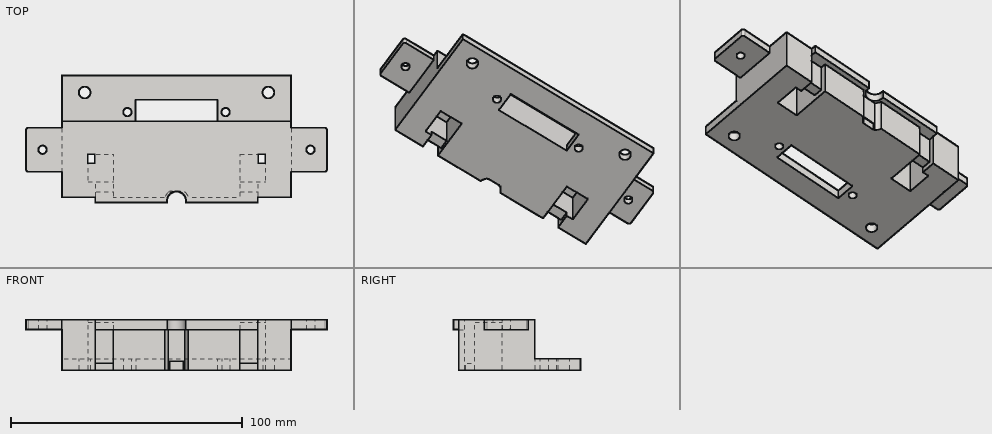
import cadquery as cq

total_length = 130.0
total_depth = 55.0
total_height = 22.0
body_width = 99.0
body_front = 2.3
body_back = 35.2

flange_thickness = 5.1
flange_hole_diameter = 5.0
flange_hole_spacing = 79.3
flange_hole_y = 47.6
small_hole_diameter = 3.5
small_hole_spacing = 42.4
small_hole_y = 39.1
window_width = 35.2
window_back = 44.5

top_thickness = 4.3
tab_width = 19.1
tab_y = 22.9
tab_hole_spacing = 115.7
tab_corner_radius = 1.0
lip_width = 70.2

slot_width = 2.9
slot_depth = 3.8
slot_spacing = 73.6
slot_y = 19.0

recess_back = 4.8
side_recess_width = 7.8
side_recess_x = (lip_width - side_recess_width) / 2
underside_channel_height = 3.1
pocket_front = 9.1
pocket_roof_thickness = 1.0
notch_radius = 4.0
notch_y = recess_back - notch_radius
lower_notch_radius = 5.3
panel_width = 5.7
panel_height = 3.9
panel_depth = 0.3

lip_bottom = total_height - top_thickness


def block(width, front, back, bottom, top, x=0):
    """Box centred on x, spanning front to back in Y and bottom to top in Z."""
    return cq.Workplane("XY").box(width, back - front, top - bottom, centered=(True, False, False)).translate(
        (x, front, bottom)
    )


def cylinder(diameter, x, y, bottom=0, top=total_height):
    """Vertical cylinder between two heights."""
    return cq.Workplane("XY", origin=(x, y, bottom)).circle(diameter / 2).extrude(top - bottom)


def make_body():
    body = block(body_width, body_front, body_back, 0, total_height)
    flange = block(body_width, body_front, total_depth, 0, flange_thickness)
    lip = block(lip_width, 0, body_back, lip_bottom, total_height)
    tabs = block(total_length, tab_y - tab_width / 2, tab_y + tab_width / 2, lip_bottom, total_height)
    tabs = tabs.edges("|Z").fillet(tab_corner_radius)
    return body.union(flange).union(lip).union(tabs)


def cut_holes(part):
    part = part.cut(block(window_width, body_back, window_back, 0, flange_thickness))
    hole_pairs = [
        (flange_hole_diameter, flange_hole_spacing, flange_hole_y),
        (small_hole_diameter, small_hole_spacing, small_hole_y),
        (small_hole_diameter, tab_hole_spacing, tab_y),
    ]
    for side in (-1, 1):
        for diameter, spacing, y in hole_pairs:
            part = part.cut(cylinder(diameter, side * spacing / 2, y))
        slot = block(
            slot_width, slot_y - slot_depth / 2, slot_y + slot_depth / 2, 0, total_height, side * slot_spacing / 2
        )
        part = part.cut(slot)
    return part


def cut_side_recesses(part):
    """Slots under the lip, each with a low channel back to an underside pocket below a through slot."""
    slot_back = slot_y + slot_depth / 2
    pocket_inner = side_recess_x - side_recess_width / 2
    pocket_outer = (slot_spacing + slot_width) / 2
    pocket_width = pocket_outer - pocket_inner
    pocket_x = (pocket_outer + pocket_inner) / 2
    pocket_roof = total_height - pocket_roof_thickness
    for side in (-1, 1):
        x = side * side_recess_x
        part = part.cut(block(side_recess_width, 0, recess_back, 0, lip_bottom, x))
        part = part.cut(block(side_recess_width, 0, pocket_front, 0, underside_channel_height, x))
        part = part.cut(block(pocket_width, pocket_front, slot_back, 0, pocket_roof, side * pocket_x))
    return part


def cut_centre_notch(part):
    """Round-backed notch in the lip above a wider, flat-backed one."""
    upper = cylinder(2 * notch_radius, 0, notch_y, lip_bottom)
    upper = upper.union(block(2 * notch_radius, 0, notch_y, lip_bottom, total_height))
    lower = cylinder(2 * lower_notch_radius, 0, notch_y, 0, lip_bottom)
    lower = lower.union(block(2 * lower_notch_radius, 0, body_front, 0, lip_bottom))
    lower = lower.intersect(block(2 * lower_notch_radius, 0, recess_back, 0, lip_bottom))
    panel = block(panel_width, 0, recess_back + panel_depth, 0, panel_height)
    return part.cut(upper).cut(lower).cut(panel)


result = cut_centre_notch(cut_side_recesses(cut_holes(make_body())))